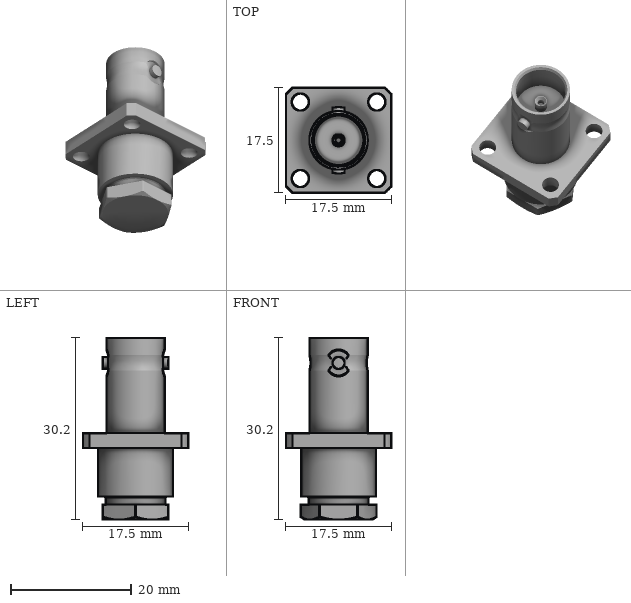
import cadquery as cq
import math

total_height = 30.2
nut_height = 2.5
body_bottom_z = 3.85
flange_bottom_z = 11.9
flange_thickness = 2.5

nut_across_flats = 11.0
nut_corner_diameter = 12.6
nut_chamfer_angle = 30.0

neck_radius = 9.95 / 2
neck_flare = 0.15
body_radius = 12.5 / 2

flange_width = 17.5
flange_corner_chamfer = 1.1
mounting_hole_spacing = 12.7
mounting_hole_diameter = 2.8

tube_radius = 9.7 / 2
bore_radius = 4.12
bore_depth = 5.45
bore_mouth_radius = 4.4
bore_mouth_depth = 0.38

stud_depth = 4.17
stud_z = total_height - stud_depth
stud_diameter = 2.0
stud_span = 11.0
groove_width = 2.6
groove_depth = 0.17
spot_face_radius = 2.08
spot_face_flare_angle = 27.0
spot_face_offset = 4.55

contact_radius = 1.0
contact_height = 1.85
contact_mouth_radius = 0.92
contact_hole_radius = 0.53
contact_cone_depth = 0.5
contact_hole_depth = 1.5


def make_nut():
    """Hexagon with corners towards +X and -X, turned corners and a conical lower chamfer."""
    across_corners = nut_across_flats / math.cos(math.radians(30))
    corner_radius = nut_corner_diameter / 2
    flat_radius = nut_across_flats / 2
    chamfer_height = (corner_radius - flat_radius) * math.tan(math.radians(nut_chamfer_angle))
    hexagon = cq.Workplane("XY").polygon(6, across_corners).extrude(nut_height)
    turned_blank = (
        cq.Workplane("XZ")
        .lineTo(flat_radius, 0)
        .lineTo(corner_radius, chamfer_height)
        .lineTo(corner_radius, nut_height)
        .lineTo(0, nut_height)
        .close()
        .revolve(360, (0, 0), (0, 1))
    )
    return hexagon.intersect(turned_blank)


def make_turned_body():
    """Neck, round body and bayonet tube with its locking groove, revolved in one profile."""
    groove_top_z = stud_z + groove_width / 2
    groove_bottom_z = stud_z - groove_width / 2
    return (
        cq.Workplane("XZ")
        .moveTo(0, nut_height)
        .lineTo(neck_radius, nut_height)
        .lineTo(neck_radius, body_bottom_z - neck_flare)
        .lineTo(neck_radius + neck_flare, body_bottom_z)
        .lineTo(body_radius, body_bottom_z)
        .lineTo(body_radius, flange_bottom_z)
        .lineTo(tube_radius, flange_bottom_z)
        .lineTo(tube_radius, groove_bottom_z)
        .threePointArc((tube_radius - groove_depth, stud_z), (tube_radius, groove_top_z))
        .lineTo(tube_radius, total_height)
        .lineTo(0, total_height)
        .close()
        .revolve(360, (0, 0), (0, 1))
    )


def make_flange():
    """Square plate with chamfered corners and four mounting holes."""
    return (
        cq.Workplane("XY", origin=(0, 0, flange_bottom_z))
        .rect(flange_width, flange_width)
        .extrude(flange_thickness)
        .edges("|Z")
        .chamfer(flange_corner_chamfer)
        .faces(">Z")
        .workplane()
        .rect(mounting_hole_spacing, mounting_hole_spacing, forConstruction=True)
        .vertices()
        .hole(mounting_hole_diameter)
    )


def cut_spot_faces(part):
    """Round flats with flared walls on the -Y and +Y sides of the tube, around each stud."""
    cutter_length = stud_span / 2 - spot_face_offset
    for side in (-1, 1):
        plane = cq.Plane((0, side * spot_face_offset, stud_z), (1, 0, 0), (0, side, 0))
        floor = cq.Workplane(plane).circle(spot_face_radius)
        cutter = floor.extrude(cutter_length, taper=-spot_face_flare_angle)
        part = part.cut(cutter)
    return part


def make_studs():
    """Bar along Y forming both bayonet studs, its ends turned round about the Z axis."""
    bar = (
        cq.Workplane("XZ", origin=(0, 0, stud_z))
        .circle(stud_diameter / 2)
        .extrude(stud_span / 2, both=True)
    )
    turned_envelope = cq.Workplane("XY").circle(stud_span / 2).extrude(total_height)
    return bar.intersect(turned_envelope)


def make_bore():
    """Blind bore of the tube with a chamfered mouth."""
    floor_z = total_height - bore_depth
    return (
        cq.Workplane("XZ")
        .moveTo(0, floor_z)
        .lineTo(bore_radius, floor_z)
        .lineTo(bore_radius, total_height - bore_mouth_depth)
        .lineTo(bore_mouth_radius, total_height)
        .lineTo(0, total_height)
        .close()
        .revolve(360, (0, 0), (0, 1))
    )


def make_contact():
    """Round contact with a conical mouth leading into a blind hole."""
    floor_z = total_height - bore_depth
    tip_z = floor_z + contact_height
    hole_bottom_z = tip_z - contact_hole_depth
    return (
        cq.Workplane("XZ")
        .moveTo(0, floor_z)
        .lineTo(contact_radius, floor_z)
        .lineTo(contact_radius, tip_z)
        .lineTo(contact_mouth_radius, tip_z)
        .lineTo(contact_hole_radius, tip_z - contact_cone_depth)
        .lineTo(contact_hole_radius, hole_bottom_z)
        .lineTo(0, hole_bottom_z)
        .close()
        .revolve(360, (0, 0), (0, 1))
    )


shell = make_turned_body().union(make_nut()).union(make_flange())
shell = cut_spot_faces(shell).union(make_studs())
result = shell.cut(make_bore()).union(make_contact())